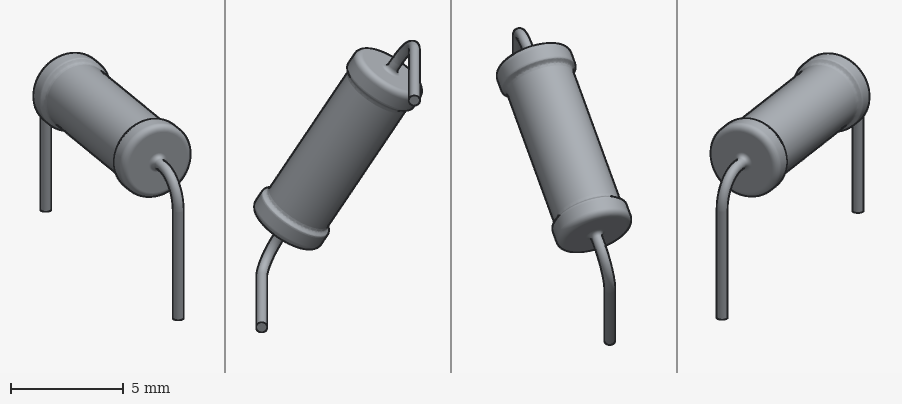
import cadquery as cq
import math


overall_length = 13.5
overall_height = 8.5

body_length = 9.0
cap_diameter = 3.5
barrel_diameter = 3.1
cap_rim_round = 0.3
cap_width = 0.82
neck_length = 0.36
barrel_handle = 0.28
cap_handle = 0.19

wire_diameter = 0.5
bend_radius = 1.5
root_fillet = 0.2

cap_radius = cap_diameter / 2
barrel_radius = barrel_diameter / 2
wire_radius = wire_diameter / 2
cap_face_x = body_length / 2
shoulder_x = cap_face_x - cap_width
neck_x = shoulder_x - neck_length
wire_start_x = cap_face_x + root_fillet
lead_tip_z = cap_radius - overall_height
lead_x = overall_length / 2 - wire_radius
bend_start_x = lead_x - bend_radius


def make_barrel():
    """Plain cylinder between the two necks."""
    return cq.Workplane("YZ", origin=(-neck_x, 0, 0)).circle(barrel_radius).extrude(2 * neck_x)


def make_cap():
    """Turned end on the +X side: neck, cap and lead root flare."""
    diagonal = math.sqrt(0.5)

    rim_center_x = cap_face_x - cap_rim_round
    rim_center_y = cap_radius - cap_rim_round
    rim_mid = (rim_center_x + cap_rim_round * diagonal, rim_center_y + cap_rim_round * diagonal)

    root_center_y = wire_radius + root_fillet
    root_mid = (wire_start_x - root_fillet * diagonal, root_center_y - root_fillet * diagonal)

    neck_curve = [
        (neck_x, barrel_radius),
        (neck_x + barrel_handle, barrel_radius),
        (shoulder_x - cap_handle, cap_radius),
        (shoulder_x, cap_radius),
    ]

    profile = (
        cq.Workplane("XY")
        .moveTo(neck_x, 0)
        .lineTo(neck_x, barrel_radius)
        .bezier(neck_curve)
        .lineTo(rim_center_x, cap_radius)
        .threePointArc(rim_mid, (cap_face_x, rim_center_y))
        .lineTo(cap_face_x, root_center_y)
        .threePointArc(root_mid, (wire_start_x, wire_radius))
        .lineTo(wire_start_x, 0)
        .close()
    )
    return profile.revolve(360, (0, 0, 0), (1, 0, 0))


def make_lead():
    """Wire on the +X side: out from the cap, round the bend and down to the tip."""
    path = (
        cq.Workplane("XZ")
        .moveTo(wire_start_x, 0)
        .lineTo(bend_start_x, 0)
        .radiusArc((lead_x, -bend_radius), bend_radius)
        .lineTo(lead_x, lead_tip_z)
    )
    section = cq.Workplane("YZ", origin=(wire_start_x, 0, 0)).circle(wire_radius)
    return section.sweep(path)


end = make_cap().union(make_lead())
result = make_barrel().union(end).union(end.mirror("YZ"))